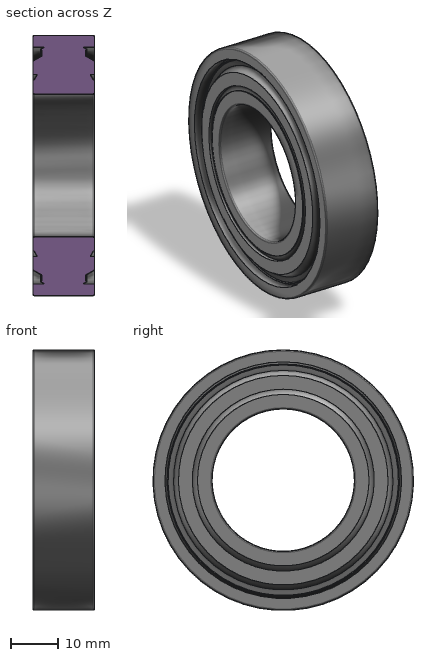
import cadquery as cq
import math

width = 13.0
outer_radius = 27.5
bore_radius = 15.0
edge_round = 0.3

inner_ring_radius = 18.1
shield_bore_radius = 19.2
shield_disc_radius = 22.1
shield_step_radius = 23.15
lip_inner_radius = 24.3
lip_crest_radius = 24.55
outer_ring_radius = 24.95

bevel_angle = math.radians(30)
shield_angle = math.radians(60)

bevel_start_depth = 0.2
bevel_end_depth = bevel_start_depth + (shield_bore_radius - inner_ring_radius) * math.tan(bevel_angle)
shield_floor_depth = (shield_step_radius - shield_disc_radius) * math.tan(shield_angle)
lip_height = 0.3
lip_crest_depth = shield_floor_depth - lip_height
lip_foot_depth = lip_crest_depth + (outer_ring_radius - lip_crest_radius) * math.tan(shield_angle)

half_width = width / 2


def revolve_about_axis(face_points):
    """Revolve an outline of (radius, depth below the -X end face) points about the X axis."""
    outline = [(depth - half_width, radius) for radius, depth in face_points]
    return cq.Workplane("XZ").polyline(outline).close().revolve(360, (0, 0, 0), (1, 0, 0))


def make_ring():
    """Plain ring with rounded bore and rim edges."""
    ring = revolve_about_axis([
        (bore_radius, 0),
        (bore_radius, width),
        (outer_radius, width),
        (outer_radius, 0),
    ])
    return ring.edges("%CIRCLE").fillet(edge_round)


def make_face_grooves():
    """Grooves on both sides of the shield disc, cut into the -X end face."""
    inner_gap = revolve_about_axis([
        (inner_ring_radius, 0),
        (inner_ring_radius, bevel_start_depth),
        (shield_bore_radius, bevel_end_depth),
        (shield_bore_radius, 0),
    ])
    outer_groove = revolve_about_axis([
        (shield_disc_radius, 0),
        (shield_step_radius, shield_floor_depth),
        (lip_inner_radius, shield_floor_depth),
        (lip_crest_radius, lip_crest_depth),
        (outer_ring_radius, lip_foot_depth),
        (outer_ring_radius, 0),
    ])
    return inner_gap.union(outer_groove)


grooves = make_face_grooves()
result = make_ring().cut(grooves).cut(grooves.mirror("YZ"))